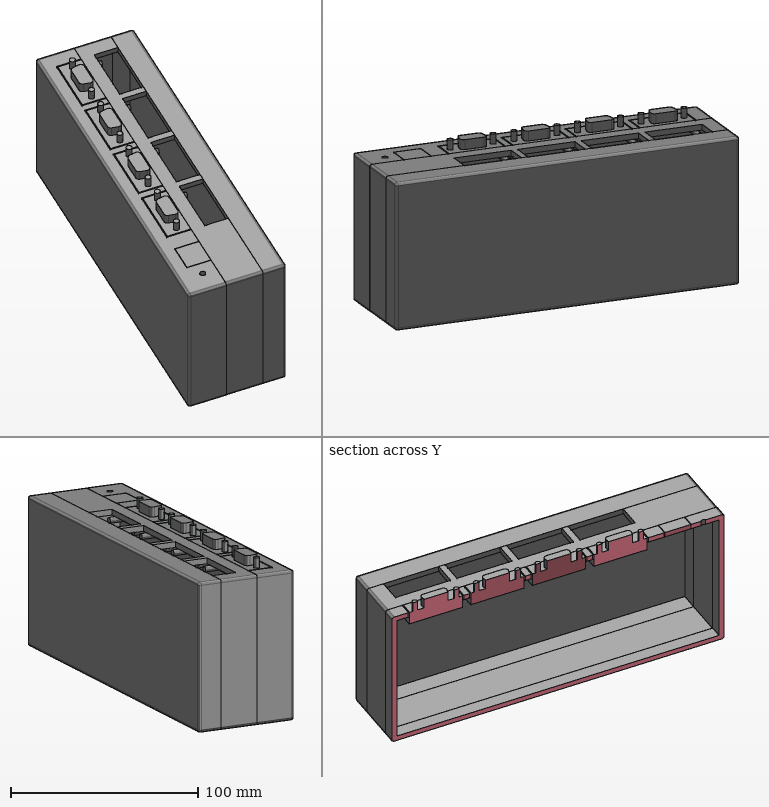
import cadquery as cq
import math

CASE_LENGTH = 200.1
CASE_DEPTH = 57.2
CASE_HEIGHT = 83.0
EDGE_RADIUS = 1.5
WALL = 3.2

FRONT_COVER_DEPTH = 22.2
BACK_COVER_DEPTH = 13.5
REAR_STEP = 0.2

LEFT_X = -CASE_LENGTH / 2
RIGHT_X = CASE_LENGTH / 2
FRONT_Y = -CASE_DEPTH / 2
BACK_Y = CASE_DEPTH / 2
FRONT_SEAM_Y = FRONT_Y + FRONT_COVER_DEPTH
BACK_SEAM_Y = BACK_Y - BACK_COVER_DEPTH
WALL_UNDERSIDE_Z = CASE_HEIGHT - WALL

CONNECTOR_COUNT = 4
CONNECTOR_PITCH = 37.0
FIRST_CONNECTOR_X = -73.5
CONNECTOR_WIDTH = 32.0
CONNECTOR_DEPTH = 13.8
CONNECTOR_BODY_HEIGHT = 8.0
CONNECTOR_GAP = 0.6
CONNECTOR_Y = FRONT_SEAM_Y - CONNECTOR_DEPTH / 2
CONNECTOR_XS = [FIRST_CONNECTOR_X + i * CONNECTOR_PITCH for i in range(CONNECTOR_COUNT)]
CUTOUT_WIDTH = CONNECTOR_WIDTH + 2 * CONNECTOR_GAP
CUTOUT_DEPTH = CONNECTOR_DEPTH + CONNECTOR_GAP

PLUG_HEIGHT = 5.6
PLUG_DEPTH = 7.8
PLUG_MIDDLE_WIDTH = 14.6
PLUG_SIDE_ANGLE = 10.0
PLUG_CORNER_RADIUS = 2.0
SCREW_DIAMETER = 3.2
SCREW_SPACING = 25.0

PEG_DIAMETER = 3.2
PEG_SPACING = 28.0
PEG_LENGTH = 10.8
PEG_CLEARANCE = 0.5
PEG_Z = WALL_UNDERSIDE_Z - PEG_CLEARANCE - PEG_DIAMETER / 2

WINDOW_DEPTH = 13.8

SWITCH_X = 72.0
SWITCH_WIDTH = 15.6
SWITCH_DEPTH = 14.0
SWITCH_GAP = 0.2
INDICATOR_X = 87.5
INDICATOR_Y = -14.6
INDICATOR_DIAMETER = 3.2


def block(x_range, y_range, z_range):
    """Box between the given limits on each axis."""
    size = [high - low for low, high in (x_range, y_range, z_range)]
    corner = (x_range[0], y_range[0], z_range[0])
    return cq.Workplane("XY").box(*size, centered=False).translate(corner)


def hollow_case(right_x):
    """Closed, rounded case with an even wall and its +X side at right_x."""
    outside = block((LEFT_X, right_x), (FRONT_Y, BACK_Y), (0, CASE_HEIGHT)).edges().fillet(EDGE_RADIUS)
    cavity = block(
        (LEFT_X + WALL, right_x - WALL),
        (FRONT_Y + WALL, BACK_Y - WALL),
        (WALL, WALL_UNDERSIDE_Z),
    )
    return outside.cut(cavity)


def case_slice(right_x, y_range):
    """Stretch of the case between two Y positions."""
    return hollow_case(right_x).intersect(block((LEFT_X, right_x), y_range, (0, CASE_HEIGHT)))


def top_cutout(center_x, width, y_range):
    """Cutter for a rectangular opening through the top wall."""
    x_range = (center_x - width / 2, center_x + width / 2)
    return block(x_range, y_range, (WALL_UNDERSIDE_Z, CASE_HEIGHT))


def make_front_cover():
    cover = case_slice(RIGHT_X, (FRONT_Y, FRONT_SEAM_Y))
    for x in CONNECTOR_XS:
        cover = cover.cut(top_cutout(x, CUTOUT_WIDTH, (FRONT_SEAM_Y - CUTOUT_DEPTH, FRONT_SEAM_Y)))
    switch_y_range = (FRONT_SEAM_Y - SWITCH_DEPTH - SWITCH_GAP, FRONT_SEAM_Y)
    cover = cover.cut(top_cutout(SWITCH_X, SWITCH_WIDTH + 2 * SWITCH_GAP, switch_y_range))
    indicator_hole = (
        cq.Workplane("XY", origin=(INDICATOR_X, INDICATOR_Y, WALL_UNDERSIDE_Z))
        .circle(INDICATOR_DIAMETER / 2)
        .extrude(WALL)
    )
    return cover.cut(indicator_hole)


def make_middle_frame():
    frame = case_slice(RIGHT_X - REAR_STEP, (FRONT_SEAM_Y, BACK_SEAM_Y))
    for x in CONNECTOR_XS:
        frame = frame.cut(top_cutout(x, CUTOUT_WIDTH, (BACK_SEAM_Y - WINDOW_DEPTH, BACK_SEAM_Y)))
    return frame


def make_back_cover():
    return case_slice(RIGHT_X - REAR_STEP, (BACK_SEAM_Y, BACK_Y))


def make_connector(x):
    """Connector body with a D-shaped plug, two screws and two rear pegs."""
    body = block(
        (x - CONNECTOR_WIDTH / 2, x + CONNECTOR_WIDTH / 2),
        (FRONT_SEAM_Y - CONNECTOR_DEPTH, FRONT_SEAM_Y),
        (CASE_HEIGHT - CONNECTOR_BODY_HEIGHT, CASE_HEIGHT),
    )

    slant = PLUG_DEPTH / 2 * math.tan(math.radians(PLUG_SIDE_ANGLE))
    back_half_width = PLUG_MIDDLE_WIDTH / 2 + slant
    front_half_width = PLUG_MIDDLE_WIDTH / 2 - slant
    plug = (
        cq.Workplane("XY", origin=(x, CONNECTOR_Y, CASE_HEIGHT))
        .polyline(
            [
                (-back_half_width, PLUG_DEPTH / 2),
                (back_half_width, PLUG_DEPTH / 2),
                (front_half_width, -PLUG_DEPTH / 2),
                (-front_half_width, -PLUG_DEPTH / 2),
            ]
        )
        .close()
        .extrude(PLUG_HEIGHT)
        .edges("|Z")
        .fillet(PLUG_CORNER_RADIUS)
    )

    screws = (
        cq.Workplane("XY", origin=(x, CONNECTOR_Y, CASE_HEIGHT))
        .rarray(SCREW_SPACING, 2, 2, 1)
        .circle(SCREW_DIAMETER / 2)
        .extrude(PLUG_HEIGHT)
    )

    pegs = (
        cq.Workplane("XZ", origin=(x, FRONT_SEAM_Y, PEG_Z))
        .rarray(PEG_SPACING, 2, 2, 1)
        .circle(PEG_DIAMETER / 2)
        .extrude(-PEG_LENGTH)
    )
    return body.union(plug).union(screws).union(pegs)


def make_switch():
    return block(
        (SWITCH_X - SWITCH_WIDTH / 2, SWITCH_X + SWITCH_WIDTH / 2),
        (FRONT_SEAM_Y - SWITCH_DEPTH, FRONT_SEAM_Y),
        (WALL_UNDERSIDE_Z, CASE_HEIGHT),
    )


front_cover = make_front_cover()
middle_frame = make_middle_frame()
back_cover = make_back_cover()
connectors = [make_connector(x) for x in CONNECTOR_XS]
switch = make_switch()

result = cq.Compound.makeCompound(
    [
        front_cover.val(),
        middle_frame.val(),
        back_cover.val(),
        *[connector.val() for connector in connectors],
        switch.val(),
    ]
)